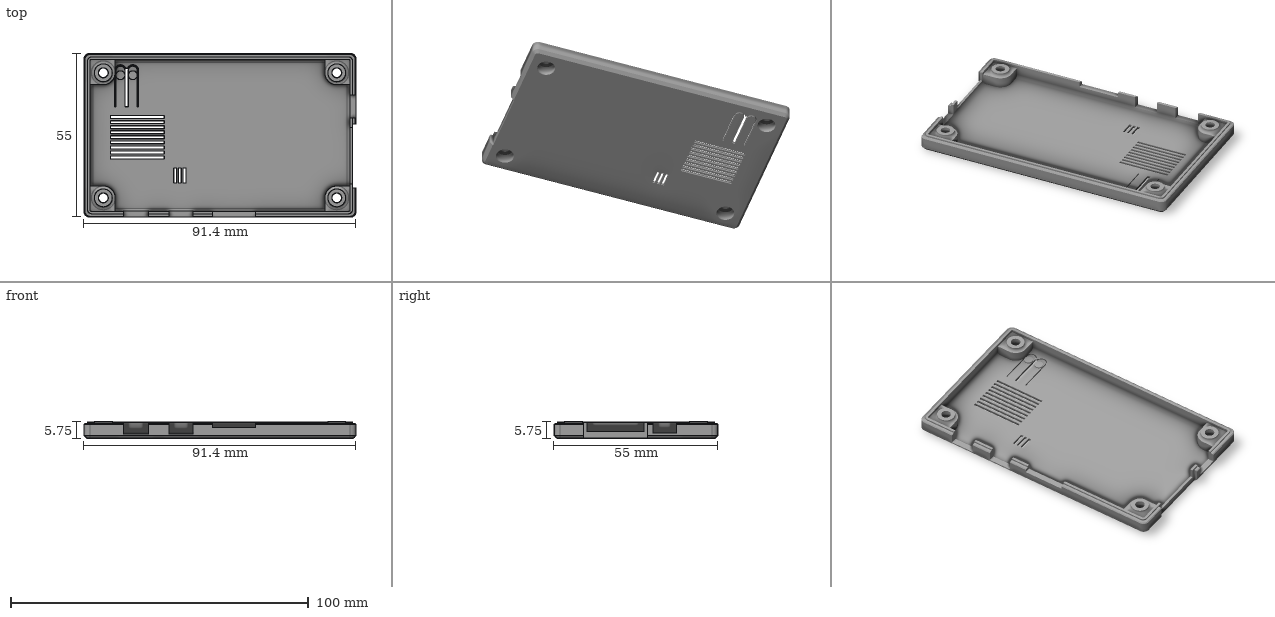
import cadquery as cq

length = 91.4
width = 55.0
corner_radius = 2.0
bottom_chamfer = 1.0

floor_top = 0.9
wall_thickness = 2.0
lip_inset = 1.15
shelf_top = 4.95
shelf_chamfer = 0.3
lip_top = 5.5
lip_radius = 1.5
cavity_radius = 0.5
floor_fillet = 1.0

post_inset = 6.5
pad_radius = 4.0
pad_top = 4.5
post_diameter = 6.0
post_top = 5.75
pad_overlap = 0.5
post_fillet = pad_radius - post_diameter / 2
screw_hole_diameter = 3.2
screw_head_diameter = 6.0
screw_head_depth = 3.9

tongue_xs = (-33.45, -29.3)
tongue_root_y = 9.65
tongue_tip_y = 21.75
tongue_half_width = 1.55
tongue_gap = 0.35
between_tongues_end_y = 22.5
button_y = 20.2
button_diameter = 2.97
button_height = 0.4

vent_center = (-27.75, -0.65)
vent_size = (18.0, 0.9)
vent_pitch = 1.7
vent_count = 9
small_vent_center = (-13.5, -13.5)
small_vent_size = (0.9, 5.0)
small_vent_pitch = 1.55
small_vent_count = 3

front_openings = (
    (-32.4, -24.1, 1.5),
    (-17.1, -9.0, 1.5),
    (-2.6, 11.9, 3.65),
)

side_opening_y = (5.75, 13.55)
side_opening_sill = 1.8
card_opening_y = (-16.4, 2.7)
card_opening_sill = 2.4
card_recess_y = (-17.6, 3.8)
card_recess_depth = lip_inset

inner_x = length / 2 - wall_thickness
inner_y = width / 2 - wall_thickness
post_x = length / 2 - post_inset
post_y = width / 2 - post_inset


def block(x_range, y_range, z_range):
    """Box between the given limits on each axis."""
    sizes = [end - start for start, end in (x_range, y_range, z_range)]
    corner = (x_range[0], y_range[0], z_range[0])
    return cq.Workplane("XY").box(*sizes, centered=False).translate(corner)


def rounded_plate(inset, radius, bottom, top):
    """Plate with rounded corners, inset from the outer size of the tray."""
    plate = cq.Workplane("XY").workplane(offset=bottom)
    plate = plate.rect(length - 2 * inset, width - 2 * inset).extrude(top - bottom)
    return plate.edges("|Z").fillet(radius)


def tray():
    """Chamfered body with a stepped rim and a cavity with a rounded floor edge."""
    body = rounded_plate(0, corner_radius, 0, shelf_top)
    body = body.faces("<Z").chamfer(bottom_chamfer)
    body = body.faces(">Z").chamfer(shelf_chamfer)
    lip = rounded_plate(lip_inset, lip_radius, floor_top, lip_top)
    cavity = rounded_plate(wall_thickness, cavity_radius, floor_top, lip_top)
    cavity = cavity.faces("<Z").edges().fillet(floor_fillet)
    return body.union(lip).cut(cavity)


def corner_post(side_x, side_y):
    """Pad filling one corner of the cavity, with a flared post on it."""
    center = (side_x * post_x, side_y * post_y)
    x_range = sorted((center[0] - side_x * pad_radius, side_x * (inner_x + pad_overlap)))
    y_range = sorted((center[1] - side_y * pad_radius, side_y * (inner_y + pad_overlap)))
    pad = block(x_range, y_range, (floor_top - pad_overlap, pad_top))
    inner_edge = ("<X" if side_x > 0 else ">X", "<Y" if side_y > 0 else ">Y")
    pad = pad.edges("|Z").edges(inner_edge[0]).edges(inner_edge[1]).fillet(pad_radius)

    flare = (
        cq.Workplane("XZ")
        .moveTo(0, pad_top)
        .lineTo(pad_radius, pad_top)
        .radiusArc((post_diameter / 2, pad_top + post_fillet), post_fillet)
        .lineTo(post_diameter / 2, post_top)
        .lineTo(0, post_top)
        .close()
        .revolve(360, (0, 0, 0), (0, 1, 0))
    )
    return pad.union(flare.translate((*center, 0)))


def tongue_outline(x, half_width):
    """Round-ended bar through the floor, from the tongue root to its tip."""
    return (
        cq.Workplane("XY")
        .moveTo(x - half_width, tongue_root_y)
        .lineTo(x + half_width, tongue_root_y)
        .lineTo(x + half_width, tongue_tip_y)
        .radiusArc((x - half_width, tongue_tip_y), -half_width)
        .close()
        .extrude(floor_top)
    )


def tongue_slots():
    """Gaps around both tongues, joined by the wider gap between them."""
    slots = block(tongue_xs, (tongue_root_y, between_tongues_end_y), (0, floor_top))
    for x in tongue_xs:
        slots = slots.union(tongue_outline(x, tongue_half_width + tongue_gap))
    for x in tongue_xs:
        slots = slots.cut(tongue_outline(x, tongue_half_width))
    return slots


def buttons():
    """Round bumps on the two tongues."""
    points = [(x, button_y) for x in tongue_xs]
    bumps = cq.Workplane("XY").pushPoints(points).circle(button_diameter / 2)
    return bumps.extrude(floor_top + button_height)


def vent_slots(center, size, columns, rows, pitch):
    """Evenly spaced rectangular slots through the floor."""
    slots = cq.Workplane("XY").center(*center).rarray(pitch, pitch, columns, rows)
    return slots.rect(*size).extrude(floor_top)


def x_range_from_side(depth):
    """X limits of a cut reaching the given depth in from the +X side."""
    return (length / 2 - depth, length / 2)


def wall_openings():
    """Everything cut out of the -Y and +X walls."""
    inner_end_y = -inner_y + floor_fillet
    recess = x_range_from_side(card_recess_depth)
    through_wall = x_range_from_side(wall_thickness + floor_fillet)
    cuts = block(recess, card_recess_y, (0, lip_top))
    for start_x, end_x, sill in front_openings:
        cuts = cuts.union(block((start_x, end_x), (-width / 2, inner_end_y), (sill, lip_top)))
    cuts = cuts.union(block(through_wall, side_opening_y, (side_opening_sill, lip_top)))
    return cuts.union(block(through_wall, card_opening_y, (card_opening_sill, lip_top)))


corners = [(side_x, side_y) for side_x in (-1, 1) for side_y in (-1, 1)]
post_centers = [(side_x * post_x, side_y * post_y) for side_x, side_y in corners]

result = tray().cut(wall_openings())
for side_x, side_y in corners:
    result = result.union(corner_post(side_x, side_y))

for diameter, depth in ((screw_hole_diameter, post_top), (screw_head_diameter, screw_head_depth)):
    bores = cq.Workplane("XY").pushPoints(post_centers).circle(diameter / 2).extrude(depth)
    result = result.cut(bores)

result = result.cut(tongue_slots()).union(buttons())
result = result.cut(vent_slots(vent_center, vent_size, 1, vent_count, vent_pitch))
small_vents = vent_slots(
    small_vent_center, small_vent_size, small_vent_count, 1, small_vent_pitch
)
result = result.cut(small_vents)